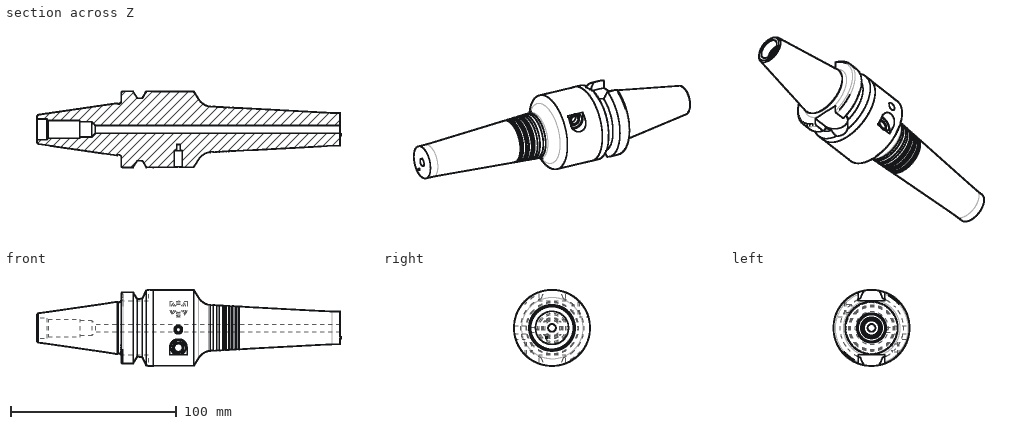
import cadquery as cq
import math


shank_end_radius = 8.8
shank_chamfer = 0.7
taper_slope = 7 / 48
taper_length = 48.5
neck_start = 49.0
neck_radius = 15.4

flange_start = 50.8
flange_radius = 23.02
flange_root_fillet = 1.7
flange_rim_fillet = 1.1
v_groove_start = 58.0
v_groove_floor_start = 60.5
v_groove_floor_end = 63.6
v_groove_end = 65.8
v_groove_radius = 19.0
flange_end = 70.2

body_radius = 23.0
body_end = 94.6
shoulder_end = 97.4
shoulder_radius = 18.5
shoulder_arc_x = 99.8
shoulder_arc_radius = 15.8
nose_start = 103.3
nose_start_radius = 14.03
nose_tip_start = 177.9
nose_tip_radius = 10.0
nose_end = 182.8
nose_slope = (nose_start_radius - nose_tip_radius) / (nose_tip_start - nose_start)

ring_count = 5
plain_ring_count = 2
first_ring = 104.5
ring_pitch = 3.9
ring_width = 1.7
ring_depth = 0.2
ring_bevel = 0.5

mouth_radius = 6.5
pilot_radius = 6.2
pilot_depth = 6.0
thread_radius = 5.23
thread_chamfer = 0.7
thread_end = 25.7
core_radius = 4.5
core_end = 33.0
coolant_radius = 2.3

slot_width = 16.1
slot_floor = 16.3
slot_end = 67.1

screw_x = 85.3
pocket_z = -12.0
pocket_width = 10.5
pocket_floor = 16.3
screw_hole_diameter = 9.0
screw_mouth_diameter = 6.8
screw_recess = 1.0
socket_diameter = 5.0
socket_depth = 3.0
side_hole_z = -1.1
side_hole_diameter = 5.0
side_hole_depth = 10.0
side_pilot_diameter = 3.0
side_pilot_depth = 3.7
drill_point_angle = 118

pin_diameter = 1.1
pin_y = -3.3
pin_z = -5.9
pin_end = 183.4
pin_embed = 1.8


def nose_radius(x):
    return nose_start_radius - nose_slope * (x - nose_start)


def turn(outline):
    return outline.close().revolve(360, (0, 0, 0), (1, 0, 0))


def turned_body():
    diagonal = math.sqrt(0.5)
    root_centre_x = flange_start - flange_root_fillet
    root_centre_r = neck_radius + flange_root_fillet
    rim_centre_x = flange_start + flange_rim_fillet
    rim_centre_r = flange_radius - flange_rim_fillet
    outline = (
        cq.Workplane("XY")
        .lineTo(0, shank_end_radius - shank_chamfer)
        .lineTo(shank_chamfer, shank_end_radius + taper_slope * shank_chamfer)
        .lineTo(taper_length, shank_end_radius + taper_slope * taper_length)
        .lineTo(neck_start, neck_radius)
        .lineTo(root_centre_x, neck_radius)
        .threePointArc(
            (root_centre_x + diagonal * flange_root_fillet, root_centre_r - diagonal * flange_root_fillet),
            (flange_start, root_centre_r),
        )
        .lineTo(flange_start, rim_centre_r)
        .threePointArc(
            (rim_centre_x - diagonal * flange_rim_fillet, rim_centre_r + diagonal * flange_rim_fillet),
            (rim_centre_x, flange_radius),
        )
        .lineTo(v_groove_start, flange_radius)
        .lineTo(v_groove_floor_start, v_groove_radius)
        .lineTo(v_groove_floor_end, v_groove_radius)
        .lineTo(v_groove_end, flange_radius)
        .lineTo(flange_end, flange_radius)
        .lineTo(flange_end, body_radius)
        .lineTo(body_end, body_radius)
        .lineTo(shoulder_end, shoulder_radius)
        .threePointArc((shoulder_arc_x, shoulder_arc_radius), (nose_start, nose_start_radius))
        .lineTo(nose_tip_start, nose_tip_radius)
        .lineTo(nose_end, nose_tip_radius)
        .lineTo(nose_end, 0)
    )
    return turn(outline)


def ring_groove(start, bevel):
    end = start + ring_width
    outline = (
        cq.Workplane("XY")
        .moveTo(start - bevel / 2, nose_start_radius + ring_depth)
        .lineTo(start - bevel / 2, nose_radius(start - bevel / 2))
        .lineTo(start + bevel / 2, nose_radius(start + bevel / 2) - ring_depth)
        .lineTo(end - bevel / 2, nose_radius(end - bevel / 2) - ring_depth)
        .lineTo(end + bevel / 2, nose_radius(end + bevel / 2))
        .lineTo(end + bevel / 2, nose_start_radius + ring_depth)
    )
    return turn(outline)


def bore():
    outline = (
        cq.Workplane("XY")
        .lineTo(0, mouth_radius)
        .lineTo(mouth_radius - pilot_radius, pilot_radius)
        .lineTo(pilot_depth, pilot_radius)
        .lineTo(pilot_depth, thread_radius + thread_chamfer)
        .lineTo(pilot_depth + thread_chamfer, thread_radius)
        .lineTo(thread_end, thread_radius)
        .lineTo(thread_end, core_radius)
        .lineTo(core_end, core_radius)
        .lineTo(core_end + core_radius - coolant_radius, coolant_radius)
        .lineTo(nose_end, coolant_radius)
        .lineTo(nose_end, 0)
    )
    return turn(outline)


def drive_slot():
    round_centre = slot_end - slot_width / 2
    straight = round_centre - taper_length
    height = flange_radius - slot_floor
    floor = cq.Workplane("XY").workplane(offset=slot_floor)
    square_part = floor.center(taper_length + straight / 2, 0).rect(straight, slot_width).extrude(height)
    round_part = floor.center(round_centre, 0).circle(slot_width / 2).extrude(height)
    return square_part.union(round_part)


def side_plane(z, distance):
    """Plane facing -Y at the screw position, the given distance from the axis."""
    return cq.Workplane("XZ", origin=(screw_x, -distance, z))


def drilled_hole(z, distance, diameter, depth):
    """Blind hole with a conical bottom, drilled along +Y."""
    radius = diameter / 2
    point = radius / math.tan(math.radians(drill_point_angle / 2))
    outline = (
        cq.Workplane("XY", origin=(screw_x, -distance, z))
        .lineTo(radius, 0)
        .lineTo(radius, depth)
        .lineTo(0, depth + point)
        .close()
    )
    return outline.revolve(360, (0, 0, 0), (0, 1, 0))


def screw_pocket():
    height = body_radius - pocket_floor
    reach = body_radius + pocket_z
    round_part = side_plane(pocket_z, pocket_floor).circle(pocket_width / 2).extrude(height)
    open_part = side_plane(pocket_z - reach / 2, pocket_floor).rect(pocket_width, reach).extrude(height)
    recess = (
        side_plane(pocket_z, pocket_floor)
        .circle(screw_hole_diameter / 2)
        .workplane(offset=-screw_recess)
        .circle(screw_mouth_diameter / 2)
        .loft()
    )
    socket = drilled_hole(pocket_z, pocket_floor - screw_recess, socket_diameter, socket_depth)
    return round_part.union(open_part).union(recess).union(socket)


def side_hole():
    floor_distance = body_radius - side_hole_depth
    wide_part = side_plane(side_hole_z, floor_distance).circle(side_hole_diameter / 2).extrude(side_hole_depth)
    pilot = drilled_hole(side_hole_z, floor_distance, side_pilot_diameter, side_pilot_depth)
    return wide_part.union(pilot)


def nose_pin():
    base = cq.Workplane("YZ", origin=(nose_end - pin_embed, pin_y, pin_z))
    return base.circle(pin_diameter / 2).extrude(pin_end - nose_end + pin_embed)


result = turned_body().cut(bore())

for index in range(ring_count):
    bevel = 0 if index < plain_ring_count else ring_bevel
    result = result.cut(ring_groove(first_ring + index * ring_pitch, bevel))

for angle in (0, 180):
    for feature in (drive_slot(), screw_pocket()):
        result = result.cut(feature.rotate((0, 0, 0), (1, 0, 0), angle))

result = result.cut(side_hole()).union(nose_pin())